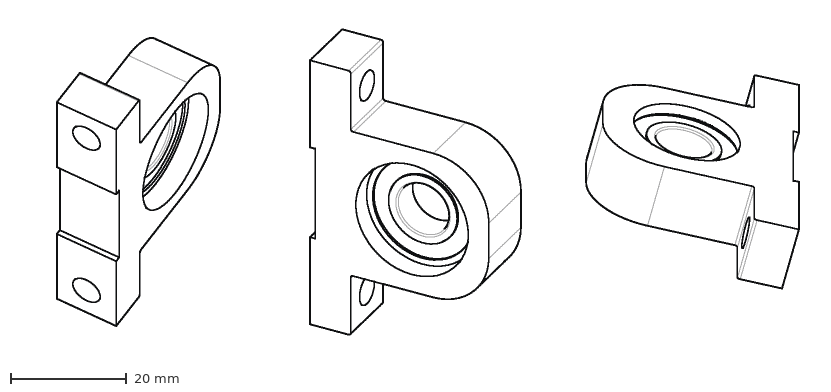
import cadquery as cq

thickness = 12.0
length = 53.0
depth = 35.0
flange_depth = 8.0
body_height = 28.95
corner_radius = 10.9
edge_radius = 0.5
relief_depth = 1.0
relief_height = 18.0
mount_hole_diameter = 5.5
mount_hole_spacing = 41.0

bore_axis_y = 20.0
lip_thickness = 2.0
lip_bore_diameter = 19.0

bearing_diameter = 22.0
bearing_width = 6.0
outer_ring_bore = 19.6
inner_ring_diameter = 13.4
inner_ring_bore = 10.0
bore_rounding = 0.3
shield_recess = 0.5


def cylinder_x(diameter, start, width):
    """Cylinder along X on the bearing axis, beginning at X = start."""
    return (
        cq.Workplane("YZ", origin=(start, bore_axis_y, 0))
        .circle(diameter / 2)
        .extrude(width)
    )


def make_housing():
    flange = cq.Workplane("XY").box(thickness, flange_depth, length, centered=(False, False, True))
    block = (
        cq.Workplane("XY")
        .box(thickness, depth, body_height, centered=(False, False, True))
        .edges("|X and >Y")
        .fillet(corner_radius)
    )
    body = flange.union(block)

    margin = 0.55
    for side in (-1, 1):
        flange_back_edges = cq.selectors.BoxSelector(
            (-margin, flange_depth - margin, side * (body_height / 2 - margin)),
            (thickness + margin, flange_depth + margin, side * (length / 2 + margin)),
        )
        body = body.edges("|X").edges(flange_back_edges).fillet(edge_radius)

    relief = cq.Workplane("XY").box(thickness, relief_depth, relief_height, centered=(False, False, True))
    body = body.cut(relief)

    for side in (-1, 1):
        hole = (
            cq.Workplane("XZ", origin=(thickness / 2, 0, side * mount_hole_spacing / 2))
            .circle(mount_hole_diameter / 2)
            .extrude(-flange_depth)
        )
        body = body.cut(hole)

    body = body.cut(cylinder_x(lip_bore_diameter, 0, lip_thickness))
    return body.cut(cylinder_x(bearing_diameter, lip_thickness, thickness - lip_thickness))


def make_outer_ring():
    """Outer bearing ring with its shield, which is recessed at both ends."""
    ring = cylinder_x(bearing_diameter, lip_thickness, bearing_width)
    ring = ring.cut(cylinder_x(inner_ring_diameter, lip_thickness, bearing_width))
    for start in (lip_thickness, lip_thickness + bearing_width - shield_recess):
        ring = ring.cut(cylinder_x(outer_ring_bore, start, shield_recess))
    return ring


def make_inner_ring():
    """Inner bearing ring with a rounded edge at each end of its bore."""
    ring = cylinder_x(inner_ring_diameter, lip_thickness, bearing_width)
    bore = cylinder_x(inner_ring_bore, lip_thickness, bearing_width)
    ring = ring.cut(bore)
    bore_edges = cq.selectors.RadiusNthSelector(0)
    return ring.edges(bore_edges).fillet(bore_rounding)


housing = make_housing()
outer_ring = make_outer_ring()
inner_ring = make_inner_ring()

result = cq.Compound.makeCompound([housing.val(), outer_ring.val(), inner_ring.val()])